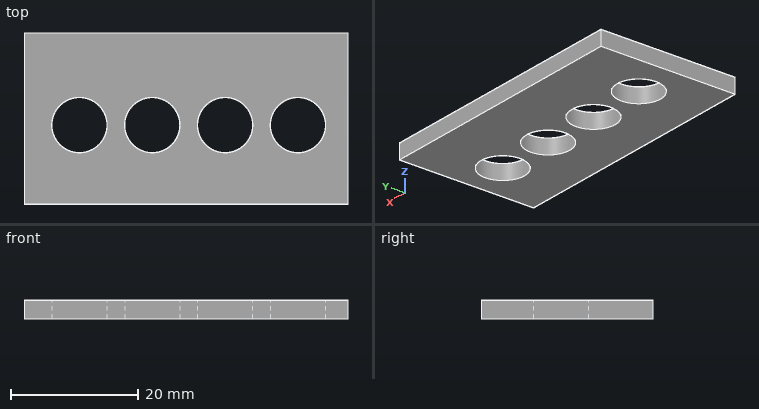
import cadquery as cq

length = 50.8
width = 26.9
thickness = 3.0

hole_diameter = 8.65
hole_count = 4
hole_pitch = 11.45
first_hole_x = 8.65
hole_row_y = 12.45

hole_centers = [(first_hole_x + i * hole_pitch, hole_row_y) for i in range(hole_count)]

plate = cq.Workplane("XY").box(length, width, thickness, centered=False)
holes = (
    cq.Workplane("XY")
    .pushPoints(hole_centers)
    .circle(hole_diameter / 2)
    .extrude(thickness)
)

result = plate.cut(holes)